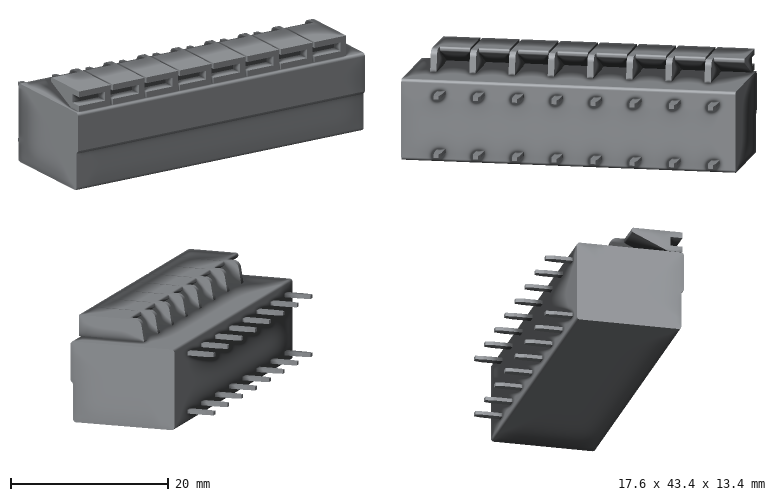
import cadquery as cq

length = 43.35
pole_count = 8
end_margin = 2.7
pitch = (length - end_margin) / pole_count

pin_length = 3.5
overall_width = 17.6
body_height = 10.55
body_fillet = 0.4
step_depth = 0.35
step_bottom = 5.0
step_top = 5.4

pin_width = 1.0
pin_thickness = 0.48
pin_tip_width = 0.65
pin_tip_length = 1.05
pin_heights = (1.45, 9.0)
pin_offset = pitch / 2

lever_top = 13.4
lever_width = 4.75
lever_offset = 0.25
lever_end_x = 17.45
arm_width = 0.82
arm_base_x = 8.62
arm_top_x = 9.1
arm_fillet = 0.95
nose_x = 10.8
nose_bottom = 12.85
nose_fillet = 0.25
wedge_base_x = 15.55
foot_end_x = 14.3
clearance = 0.15
slot_length = 1.6
slot_bottom = 11.45
slot_height = 1.15


def extrude_along_y(outline, start, width):
    """Extrude a closed XZ outline in +Y from the given start."""
    return (
        cq.Workplane("XZ", origin=(0, start, 0))
        .polyline(outline)
        .close()
        .extrude(-width)
    )


def make_body():
    """Housing with a shallow step on its +X face and rounded long edges."""
    step_x = overall_width - step_depth
    outline = [
        (pin_length, 0),
        (step_x, 0),
        (step_x, step_bottom),
        (overall_width, step_top),
        (overall_width, body_height),
        (pin_length, body_height),
    ]
    body = extrude_along_y(outline, 0, length)
    return body.edges("|Y").edges("<Z or >Z").fillet(body_fillet)


def make_pin(y, z):
    """Flat pin along X, tapered towards its free end and rooted in the housing face."""
    half_width = pin_width / 2
    half_tip = pin_tip_width / 2
    root_x = pin_length + body_fillet
    outline = [
        (0, -half_tip),
        (pin_tip_length, -half_width),
        (root_x, -half_width),
        (root_x, half_width),
        (pin_tip_length, half_width),
        (0, half_tip),
    ]
    return (
        cq.Workplane("XY", origin=(0, y, z - pin_thickness / 2))
        .polyline(outline)
        .close()
        .extrude(pin_thickness)
    )


def make_lever(start):
    """Release lever: a wedge-shaped button with an upright arm on its +Y side."""
    underside = body_height + clearance
    arm_start = start + lever_width - arm_width

    wedge_outline = [
        (nose_x, lever_top),
        (nose_x, nose_bottom),
        (wedge_base_x, underside),
        (lever_end_x, underside),
        (lever_end_x, lever_top),
    ]
    wedge = extrude_along_y(wedge_outline, start, lever_width)
    wedge = wedge.edges("|Y").edges("<X").fillet(nose_fillet)

    arm_outline = [
        (arm_base_x, body_height),
        (arm_top_x, lever_top),
        (lever_end_x, lever_top),
        (lever_end_x, underside),
        (foot_end_x, underside),
        (foot_end_x, body_height),
    ]
    arm = extrude_along_y(arm_outline, arm_start, arm_width)
    top_corner = (arm_top_x, arm_start, lever_top)
    arm = arm.edges("|Y").edges(cq.NearestToPointSelector(top_corner)).fillet(arm_fillet)

    slot = (
        cq.Workplane("XY", origin=(lever_end_x - slot_length, start, slot_bottom))
        .box(slot_length, lever_width, slot_height, centered=False)
    )
    return wedge.cut(slot).union(arm)


result = make_body()
for pole in range(pole_count):
    pole_start = pole * pitch
    result = result.union(make_lever(pole_start + lever_offset))
    for pin_z in pin_heights:
        result = result.union(make_pin(pole_start + pin_offset, pin_z))